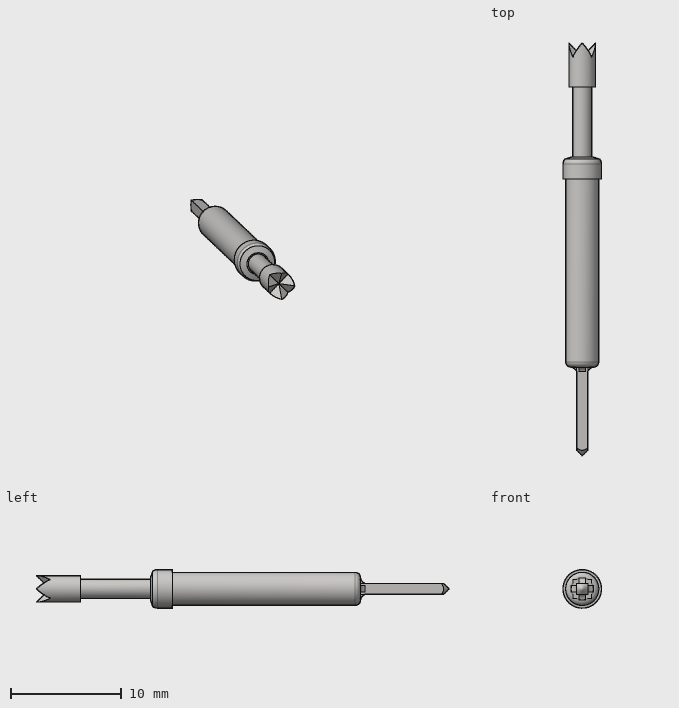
import cadquery as cq
import math

collar_diameter = 3.5
collar_length = 2.0
collar_cone_small_diameter = 2.0
collar_cone_large_diameter = 3.2
collar_cone_length = 0.2
collar_round_length = 0.45
barrel_diameter = 3.0
barrel_length = 17.0
barrel_round = 0.5
end_block_width = 1.7

plunger_diameter = 1.75
shaft_length = 6.3
crown_diameter = 2.4
crown_length = 4.0
crown_notch_depth = 1.25
crown_notch_angle = 45

tail_width = 1.0
tail_length = 8.0
tail_tip_angle = 45
gusset_width = 0.6
gusset_height = 0.5
gusset_length = 0.4
gusset_sag = 0.08

collar_top = collar_length
crown_base = collar_top + shaft_length
crown_top = crown_base + crown_length
barrel_end = -barrel_length
tail_end = barrel_end - tail_length


def rod(diameter, start, end):
    """Solid cylinder on the Y axis between two stations."""
    return cq.Workplane("XZ", origin=(0, end, 0)).circle(diameter / 2).extrude(end - start)


def square_bar(width, start, end):
    """Solid square bar on the Y axis between two stations."""
    return cq.Workplane("XZ", origin=(0, end, 0)).rect(width, width).extrude(end - start)


def revolve_about_y(profile):
    """Turn a closed half profile in the XY plane about the Y axis."""
    return profile.revolve(360, (0, 0, 0), (0, 1, 0))


def make_collar():
    """Stop collar whose outer end is a rounded shoulder followed by a shallow cone."""
    cone_base = collar_top - collar_cone_length
    round_base = cone_base - collar_round_length
    return revolve_about_y(
        cq.Workplane("XY")
        .lineTo(collar_diameter / 2, 0)
        .lineTo(collar_diameter / 2, round_base)
        .tangentArcPoint((collar_cone_large_diameter / 2, cone_base), relative=False)
        .lineTo(collar_cone_small_diameter / 2, collar_top)
        .lineTo(0, collar_top)
        .close()
    )


def make_barrel():
    """Barrel with a rounded end, filled out at the end face by the corners of a square block."""
    body = rod(barrel_diameter, barrel_end, 0).faces("<Y").edges().fillet(barrel_round)
    block = square_bar(end_block_width, barrel_end, barrel_end + barrel_round)
    return body.union(block)


def make_crown():
    """Crown head with two crossing V grooves that leave four points on the X and Z axes."""
    radius = crown_diameter / 2
    tip_offset = radius * math.sin(math.radians(crown_notch_angle))
    overcut = 2
    groove_half_width = overcut * tip_offset
    groove_bottom = crown_top - crown_notch_depth
    groove_top = groove_bottom + overcut * crown_notch_depth
    groove = (
        cq.Workplane("XY")
        .moveTo(0, groove_bottom)
        .lineTo(groove_half_width, groove_top)
        .lineTo(-groove_half_width, groove_top)
        .close()
        .extrude(crown_diameter, both=True)
    )
    crown = rod(crown_diameter, crown_base, crown_top)
    for angle in (crown_notch_angle, crown_notch_angle - 90):
        crown = crown.cut(groove.rotate((0, 0, 0), (0, 1, 0), angle))
    return crown


def make_tail():
    """Square tail ground to a conical point."""
    corner_radius = tail_width / math.sqrt(2)
    tip_length = corner_radius / math.tan(math.radians(tail_tip_angle))
    tip_base = tail_end + tip_length
    cone = revolve_about_y(
        cq.Workplane("XY")
        .moveTo(0, tail_end)
        .lineTo(corner_radius, tip_base)
        .lineTo(0, tip_base)
        .close()
    )
    tip = cone.intersect(square_bar(tail_width, tail_end, tip_base))
    return square_bar(tail_width, tip_base, barrel_end).union(tip)


def make_gussets():
    """Four hollow-curved ribs between the barrel end and the faces of the tail."""
    half_tail = tail_width / 2
    outer_end = (half_tail + gusset_height, barrel_end)
    inner_end = (half_tail, barrel_end - gusset_length)
    rib = (
        cq.Workplane("XY")
        .moveTo(0, barrel_end)
        .lineTo(*outer_end)
        .sagittaArc(inner_end, -gusset_sag)
        .lineTo(0, barrel_end - gusset_length)
        .close()
        .extrude(gusset_width / 2, both=True)
    )
    gussets = rib
    for angle in (90, 180, 270):
        gussets = gussets.union(rib.rotate((0, 0, 0), (0, 1, 0), angle))
    return gussets


plunger_shaft = rod(plunger_diameter, collar_top, crown_base)
result = make_barrel().union(make_collar()).union(plunger_shaft).union(make_crown())
result = result.union(make_tail()).union(make_gussets())